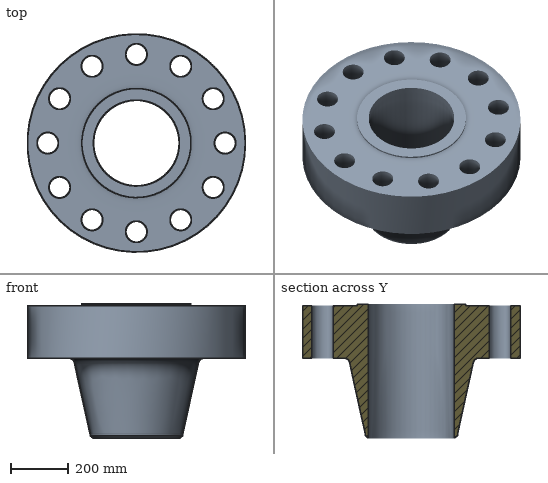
import cadquery as cq

flange_diameter = 762.0
total_height = 470.0
bore_diameter = 299.0

flange_thickness = 184.5
face_diameter = 381.0
face_height = 6.0

bolt_count = 12
bolt_circle_diameter = 619.5
bolt_hole_diameter = 73.0

hub_top_diameter = 440.5
neck_diameter = 324.5
neck_height = 17.0
bevel_height = 10.0
bevel_width = 12.0
root_fillet_radius = 19.0

flange_top = total_height - face_height
flange_bottom = flange_top - flange_thickness
neck_radius = neck_diameter / 2


def make_hub():
    """Revolve the neck and taper up to the underside of the flange."""
    outline = (
        cq.Workplane("XZ")
        .lineTo(neck_radius - bevel_width, 0)
        .lineTo(neck_radius, bevel_height)
        .lineTo(neck_radius, neck_height)
        .lineTo(hub_top_diameter / 2, flange_bottom)
        .lineTo(0, flange_bottom)
        .close()
    )
    return outline.revolve(360, (0, 0), (0, 1))


def make_disc(diameter, thickness, bottom):
    """Make a disc centred on the Z axis."""
    return cq.Workplane(origin=(0, 0, bottom)).circle(diameter / 2).extrude(thickness)


def make_bolt_holes():
    """Make the ring of cutters, with the first hole on the +X axis."""
    return (
        cq.Workplane(origin=(0, 0, flange_bottom))
        .polarArray(bolt_circle_diameter / 2, 0, 360, bolt_count)
        .circle(bolt_hole_diameter / 2)
        .extrude(flange_thickness)
    )


body = make_hub().union(make_disc(flange_diameter, flange_thickness, flange_bottom))
selection_margin = 1.0
hub_root = cq.selectors.BoxSelector(
    (-hub_top_diameter, -hub_top_diameter, flange_bottom - selection_margin),
    (hub_top_diameter, hub_top_diameter, flange_bottom + selection_margin),
)
root_edges = body.edges(hub_root).edges(cq.selectors.RadiusNthSelector(0))
body = root_edges.fillet(root_fillet_radius)

body = body.union(make_disc(face_diameter, face_height, flange_top))
body = body.cut(make_disc(bore_diameter, total_height, 0))
result = body.cut(make_bolt_holes())